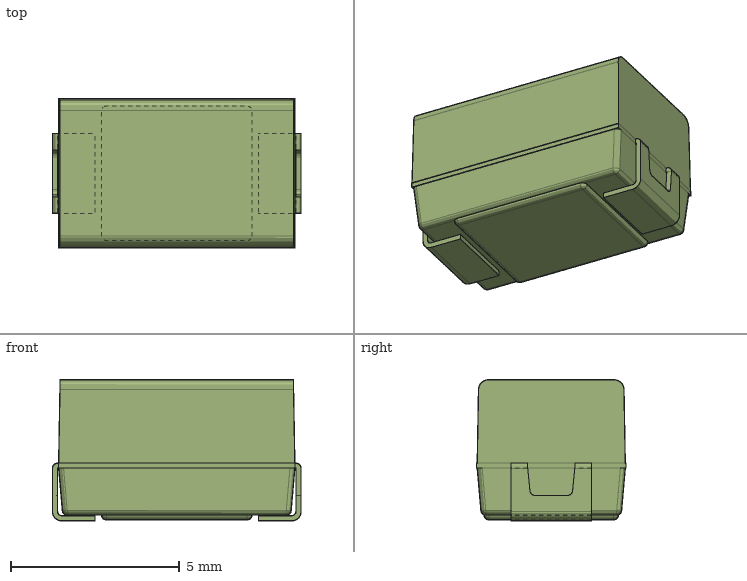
import cadquery as cq
import math

embed_depth = 0.1

overall_length = 7.4
overall_width = 4.45
overall_height = 4.2

sheet = 0.16
terminal_width = 2.38
foot_length = 1.27
upper_bend_radius = sheet
lower_bend_radius = 0.28
notch_top_width = 1.4
notch_bottom_width = 1.24
notch_floor = 0.76
notch_corner_radius = 0.15

body_length = 7.03
terminal_reach = (overall_length - body_length) / 2
body_width = 4.41
band_bottom = 1.57
band_top = 1.72
upper_draft = 1
upper_fillet = 0.3
lower_draft = 5
lower_bottom = 0.17
lower_fillet = 0.15

pad_length = 4.48
pad_width = 4.0
pad_bottom = 0.03
pad_radius = 0.15


def make_band():
    """Flat parting band, slightly wider than the two body halves."""
    return (
        cq.Workplane("XY", origin=(0, 0, band_bottom))
        .rect(body_length, overall_width)
        .extrude(band_top - band_bottom)
    )


def make_upper_body():
    """Upper half tapering upwards, rounded along its two long top edges."""
    return (
        cq.Workplane("XY", origin=(0, 0, band_top))
        .rect(body_length, body_width)
        .extrude(overall_height - band_top, taper=upper_draft)
        .faces(">Z")
        .edges("|X")
        .fillet(upper_fillet)
    )


def make_lower_body():
    """Lower half tapering downwards, rounded at its corners and bottom rim."""
    block = (
        cq.Workplane("XY", origin=(0, 0, band_bottom))
        .rect(body_length, body_width)
        .extrude(lower_bottom - band_bottom, taper=lower_draft)
    )
    rounded = block.edges("not #Z").fillet(lower_fillet)
    return rounded.faces("<Z").edges().fillet(lower_fillet)


def make_pad():
    """Rounded pad sunk into the body's underside, ending just above the level of the feet."""
    return (
        cq.Workplane("XY", origin=(0, 0, pad_bottom))
        .rect(pad_length, pad_width)
        .extrude(lower_bottom + embed_depth - pad_bottom)
        .edges("|Z")
        .fillet(pad_radius)
        .faces("<Z")
        .edges()
        .fillet(pad_radius)
    )


def make_terminal():
    """C-shaped strip on the -X end: embedded top arm, upright and foot."""
    outer_x = -overall_length / 2
    inner_x = outer_x + sheet
    arm_end = -body_length / 2 + embed_depth
    foot_end = outer_x + foot_length
    inner_bend_radius = lower_bend_radius - sheet
    bend_x = outer_x + lower_bend_radius
    diagonal = math.sqrt(0.5)
    outer_mid = lower_bend_radius * (1 - diagonal)
    inner_mid = sheet + inner_bend_radius * (1 - diagonal)
    top_mid = upper_bend_radius * (1 - diagonal)
    strip = (
        cq.Workplane("XZ")
        .moveTo(foot_end, 0)
        .lineTo(bend_x, 0)
        .threePointArc((outer_x + outer_mid, outer_mid), (outer_x, lower_bend_radius))
        .lineTo(outer_x, band_top - upper_bend_radius)
        .threePointArc((outer_x + top_mid, band_top - top_mid), (outer_x + upper_bend_radius, band_top))
        .lineTo(arm_end, band_top)
        .lineTo(arm_end, band_bottom)
        .lineTo(inner_x, band_bottom)
        .lineTo(inner_x, lower_bend_radius)
        .threePointArc((outer_x + inner_mid, inner_mid), (bend_x, sheet))
        .lineTo(foot_end, sheet)
        .close()
        .extrude(terminal_width / 2, both=True)
    )
    return strip.cut(make_notch())


def make_notch():
    """Tapered notch through the upright and the top arm of the -X terminal."""
    top = notch_top_width / 2
    bottom = notch_bottom_width / 2
    return (
        cq.Workplane("YZ", origin=(-overall_length / 2, 0, 0))
        .polyline([
            (-top, band_top),
            (-top, band_bottom),
            (-bottom, notch_floor),
            (bottom, notch_floor),
            (top, band_bottom),
            (top, band_top),
        ])
        .close()
        .extrude(terminal_reach + embed_depth)
        .edges("|X and <Z")
        .fillet(notch_corner_radius)
    )


terminal = make_terminal()
result = (
    make_band()
    .union(make_upper_body())
    .union(make_lower_body())
    .union(make_pad())
    .union(terminal)
    .union(terminal.mirror("YZ"))
)